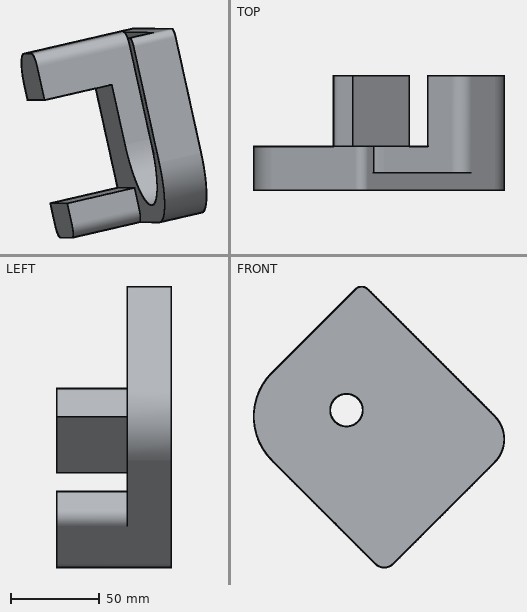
import cadquery as cq

TILT = -45.0

PLATE_THICKNESS = 25.0
TOTAL_DEPTH = 65.0
X_MIN, X_MAX = -45.0, 80.3
Y_MIN, Y_MAX = -50.0, 57.0
LEFT_RADIUS = 35.0
TOP_RADIUS = 5.0
RIGHT_RADIUS = 18.5
BOTTOM_RADIUS = 7.0
BORE_DIAMETER = 18.3

WALL = 10.0
POCKET_HALF_WIDTH = 35.0
POCKET_CENTER_Y = Y_MIN + WALL + POCKET_HALF_WIDTH

PRONG_START_X = POCKET_HALF_WIDTH
PRONG_INNER_Y = 30.0
PRONG_RADIUS = 7.7


def block(x_min, x_max, y_min, y_max, z_min, z_max):
    """Box given by its limits in the local frame."""
    size = (x_max - x_min, y_max - y_min, z_max - z_min)
    return cq.Workplane("XY").box(*size, centered=False).translate((x_min, y_min, z_min))


def round_corner(body, x, y, radius):
    """Fillet the depth-wise edge of a body at the corner (x, y)."""
    mid_edge = cq.selectors.NearestToPointSelector((x, y, body.val().Center().z))
    return body.edges("|Z").edges(mid_edge).fillet(radius)


def make_plate():
    plate = block(X_MIN, X_MAX, Y_MIN, Y_MAX, 0, PLATE_THICKNESS)
    plate = round_corner(plate, X_MIN, Y_MIN, LEFT_RADIUS)
    plate = round_corner(plate, X_MIN, Y_MAX, TOP_RADIUS)
    plate = round_corner(plate, X_MAX, Y_MAX, RIGHT_RADIUS)
    return round_corner(plate, X_MAX, Y_MIN, BOTTOM_RADIUS)


def make_pocket():
    """Cutter reaching past the open side by one wall thickness."""
    half = POCKET_HALF_WIDTH
    pocket = block(-half, half, POCKET_CENTER_Y, Y_MAX + WALL, WALL, PLATE_THICKNESS)
    round_end = (
        cq.Workplane("XY", origin=(0, POCKET_CENTER_Y, WALL))
        .circle(half)
        .extrude(PLATE_THICKNESS - WALL)
    )
    return pocket.union(round_end)


def make_upper_prong():
    """Prong on the open side; its rounded corner runs down to the pocket floor."""
    prong = block(PRONG_START_X, X_MAX, PRONG_INNER_Y, Y_MAX, WALL, TOTAL_DEPTH)
    prong = round_corner(prong, PRONG_START_X, Y_MAX, PRONG_RADIUS)
    return round_corner(prong, X_MAX, Y_MAX, RIGHT_RADIUS)


def make_lower_prong():
    prong = block(PRONG_START_X, X_MAX, Y_MIN, -PRONG_INNER_Y, PLATE_THICKNESS, TOTAL_DEPTH)
    prong = round_corner(prong, PRONG_START_X, Y_MIN, PRONG_RADIUS)
    return round_corner(prong, X_MAX, Y_MIN, BOTTOM_RADIUS)


corner_relief = block(
    PRONG_START_X, PRONG_START_X + PRONG_RADIUS, Y_MAX - PRONG_RADIUS, Y_MAX, WALL, PLATE_THICKNESS
)
bore = cq.Workplane("XY").circle(BORE_DIAMETER / 2).extrude(PLATE_THICKNESS)

part = make_plate().cut(make_pocket()).cut(corner_relief).cut(bore)
part = part.union(make_upper_prong()).union(make_lower_prong())

result = (
    part.mirror("XY")
    .rotate((0, 0, 0), (0, 0, 1), TILT)
    .rotate((0, 0, 0), (1, 0, 0), 90)
)